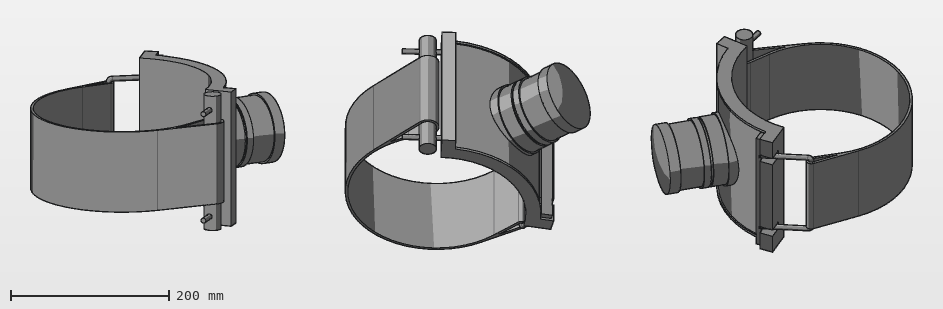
import cadquery as cq
import math

bore_radius = 112.7
saddle_radius = 129.5
rim_radius = 131.5
rim_width = 3.3
saddle_height = 176.0
flange_angle = 40.0
flange_reach = 147.5
flange_thickness = 17.5

slot_floor = 130.0
slot_width = 10.0

spigot_root_y = 116.3
collar_radius = 94.5 / 2
socket_radius = 90.0 / 2
neck_radius = 85.5 / 2
spigot_steps = [
    (collar_radius, 133.3),
    (socket_radius, 153.0),
    (neck_radius, 156.0),
    (socket_radius, 165.0),
    (neck_radius, 195.8),
    (socket_radius, 210.0),
]
dome_top_y = 216.5

strap_thickness = 3.3
strap_height = 105.0

pin_radius = 11.0
pin_x = 110.0
pin_y = 69.8
rod_radius = 3.3
bolt_length = 49.5
bolt_z = 69.8

bail_leg_x = -117.5
bail_leg_y = 45.2
bail_arm_z = 56.8
bail_hook_distance = 141.5
bar_tip = 144.2
bar_thickness = 6.5

slot_overshoot = 3.3

LEFT = -1
RIGHT = 1


def flange_point(side, along, above):
    """XY point `along` the flange face from the pipe axis and `above` it, towards the spigot."""
    angle = math.radians(flange_angle)
    x = along * math.cos(angle) - above * math.sin(angle)
    y = along * math.sin(angle) + above * math.cos(angle)
    return (side * x, y)


def centred_prism(outline, height):
    """Extrude a closed XY outline symmetrically about Z = 0."""
    return outline.extrude(height / 2, both=True)


def flange_block(side, near, far, bottom, top, height):
    """Box in the frame of one flange, centred on Z = 0."""
    corners = [
        flange_point(side, near, bottom),
        flange_point(side, far, bottom),
        flange_point(side, far, top),
        flange_point(side, near, top),
    ]
    return centred_prism(cq.Workplane("XY").polyline(corners).close(), height)


def arc_strip(centre, inner, outer, start, end, height):
    """Part of a ring about `centre`, between the angles `start` and `end` in radians."""

    def at(radius, angle):
        return (centre[0] + radius * math.cos(angle), centre[1] + radius * math.sin(angle))

    middle = (start + end) / 2
    outline = (
        cq.Workplane("XY")
        .moveTo(*at(inner, start))
        .lineTo(*at(outer, start))
        .threePointArc(at(outer, middle), at(outer, end))
        .lineTo(*at(inner, end))
        .threePointArc(at(inner, middle), at(inner, start))
        .close()
    )
    return centred_prism(outline, height)


def make_shell(radius, height):
    edge = math.radians(flange_angle)
    return arc_strip((0, 0), bore_radius, radius, edge, math.pi - edge, height)


def make_spigot():
    profile = cq.Workplane("XY").moveTo(0, spigot_root_y)
    step_start = spigot_root_y
    for radius, step_end in spigot_steps:
        profile = profile.lineTo(radius, step_start).lineTo(radius, step_end)
        step_start = step_end
    rise = dome_top_y - step_start
    dome_radius = (socket_radius**2 + rise**2) / (2 * rise)
    half_angle = math.asin(socket_radius / dome_radius) / 2
    dome_middle = (
        dome_radius * math.sin(half_angle),
        dome_top_y - dome_radius * (1 - math.cos(half_angle)),
    )
    profile = profile.threePointArc(dome_middle, (0, dome_top_y)).close()
    return profile.revolve(360, (0, 0, 0), (0, 1, 0))


def make_saddle():
    saddle = make_shell(saddle_radius, saddle_height)
    rim_z = (saddle_height - rim_width) / 2
    for z in (-rim_z, rim_z):
        saddle = saddle.union(make_shell(rim_radius, rim_width).translate((0, 0, z)))
    for side in (LEFT, RIGHT):
        flange_root = (bore_radius + saddle_radius) / 2
        flange = flange_block(side, flange_root, flange_reach, 0, flange_thickness, saddle_height)
        saddle = saddle.union(flange)
    slot_z = (strap_height + slot_width) / 2
    slot_end = flange_reach + slot_overshoot
    for z in (-slot_z, slot_z):
        slot = flange_block(LEFT, slot_floor, slot_end, 0, flange_thickness, slot_width)
        saddle = saddle.cut(slot.translate((0, 0, z)))
    return saddle.union(make_spigot())


def strand(start, end):
    """Straight length of strap whose middle runs from `start` to `end`."""
    length = math.dist(start, end)
    offset_x = (start[1] - end[1]) / length * strap_thickness / 2
    offset_y = (end[0] - start[0]) / length * strap_thickness / 2
    corners = [
        (start[0] + offset_x, start[1] + offset_y),
        (end[0] + offset_x, end[1] + offset_y),
        (end[0] - offset_x, end[1] - offset_y),
        (start[0] - offset_x, start[1] - offset_y),
    ]
    return centred_prism(cq.Workplane("XY").polyline(corners).close(), strap_height)


def loop_angles(core, core_radius):
    """Directions, on the right-hand side, of the normals of a loop's inner and outer strands.

    The strands are the crossed and the open common tangent of the band and the loop.
    """
    band_middle = bore_radius + strap_thickness / 2
    loop_middle = core_radius + strap_thickness / 2
    distance = math.hypot(*core)
    bearing = math.atan2(core[1], abs(core[0]))
    inner = bearing - math.acos((band_middle + loop_middle) / distance)
    outer = bearing - math.acos((band_middle - loop_middle) / distance)
    return inner, outer


def strap_loop(side, core, core_radius):
    """Both strands and the wrap that carry the strap around a round core."""
    band_middle = bore_radius + strap_thickness / 2
    loop_middle = core_radius + strap_thickness / 2
    inner, outer = loop_angles(core, core_radius)

    def at(centre, radius, angle):
        return (centre[0] + side * radius * math.cos(angle), centre[1] + radius * math.sin(angle))

    inner_strand = strand(at((0, 0), band_middle, inner), at(core, -loop_middle, inner))
    outer_strand = strand(at((0, 0), band_middle, outer), at(core, loop_middle, outer))
    wrap_start, wrap_end = outer, inner + math.pi
    if side == LEFT:
        wrap_start, wrap_end = math.pi - wrap_end, math.pi - wrap_start
    wrap = arc_strip(
        core, core_radius, core_radius + strap_thickness, wrap_start, wrap_end, strap_height
    )
    return wrap.union(inner_strand).union(outer_strand)


def make_strap():
    pin = (pin_x, pin_y)
    bail_leg = (bail_leg_x, bail_leg_y)
    right_end = loop_angles(pin, pin_radius)[0]
    left_end = -math.pi - loop_angles(bail_leg, rod_radius)[0]
    band = arc_strip(
        (0, 0), bore_radius, bore_radius + strap_thickness, left_end, right_end, strap_height
    )
    right_loop = strap_loop(RIGHT, pin, pin_radius)
    left_loop = strap_loop(LEFT, bail_leg, rod_radius)
    return band.union(right_loop).union(left_loop)


def make_pin():
    return centred_prism(cq.Workplane("XY").center(pin_x, pin_y).circle(pin_radius), saddle_height)


def make_bolt(z):
    """Bolt square to the right flange, from its face through the pin axis."""
    angle = math.radians(flange_angle)
    along = pin_x * math.cos(angle) + pin_y * math.sin(angle)
    x, y = flange_point(RIGHT, along, 0)
    away = cq.Vector(math.sin(angle), -math.cos(angle), 0)
    return cq.Workplane(cq.Solid.makeCylinder(rod_radius, bolt_length, cq.Vector(x, y, z), away))


def make_bail():
    """U-shaped wire: a leg inside the left strap loop and two arms that end in the hook bar."""
    hook = flange_point(LEFT, bail_hook_distance, flange_thickness + bar_thickness / 2)
    arm_x = hook[0] - bail_leg_x
    arm_y = hook[1] - bail_leg_y
    arm_length = math.hypot(arm_x, arm_y)
    plane = cq.Plane(
        origin=(bail_leg_x, bail_leg_y, 0), xDir=(arm_x, arm_y, 0), normal=(arm_y, -arm_x, 0)
    )
    leg_end = strap_height / 2
    bend = bail_arm_z - leg_end
    bend_middle = bend * (1 - math.sqrt(0.5))
    path = (
        cq.Workplane(plane)
        .moveTo(arm_length, -bail_arm_z)
        .lineTo(bend, -bail_arm_z)
        .threePointArc((bend_middle, bend_middle - bail_arm_z), (0, -leg_end))
        .lineTo(0, leg_end)
        .threePointArc((bend_middle, bail_arm_z - bend_middle), (bend, bail_arm_z))
        .lineTo(arm_length, bail_arm_z)
    )
    wire_start = cq.Plane(origin=(*hook, -bail_arm_z), normal=(arm_x, arm_y, 0))
    return cq.Workplane(wire_start).circle(rod_radius).sweep(path)


def make_hook_bar():
    """Bar lying on the back of the left flange, between the two rims."""
    back = flange_thickness + bar_thickness
    height = saddle_height - 2 * rim_width
    return flange_block(LEFT, slot_floor, bar_tip, flange_thickness, back, height)


def make_clamp():
    clamp = make_strap().union(make_pin())
    for z in (-bolt_z, bolt_z):
        clamp = clamp.union(make_bolt(z))
    return clamp.union(make_bail()).union(make_hook_bar())


saddle = make_saddle()
clamp = make_clamp()
result = cq.Compound.makeCompound([saddle.solids().val(), clamp.solids().val()])